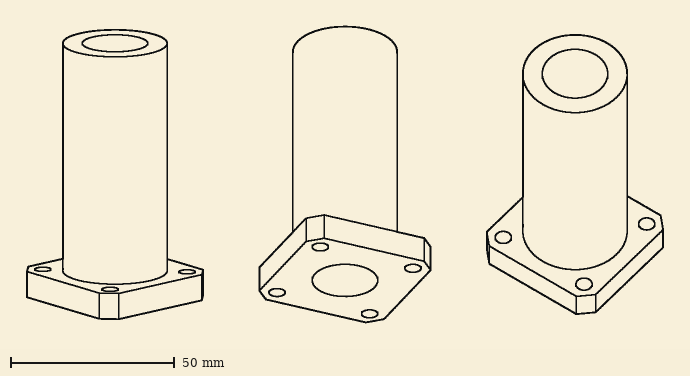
import cadquery as cq

total_height = 80.0
tube_diameter = 31.9
bore_diameter = 20.0

flange_width = 42.0
flange_thickness = 8.2
corner_chamfer = 4.2
hole_diameter = 5.0
hole_spacing = 31.2


def make_flange():
    """Square plate with cut corners and a mounting hole near each corner."""
    plate = cq.Workplane("XY").rect(flange_width, flange_width).extrude(flange_thickness)
    plate = plate.edges("|Z").chamfer(corner_chamfer)
    return (
        plate.faces(">Z").workplane()
        .rect(hole_spacing, hole_spacing, forConstruction=True)
        .vertices()
        .hole(hole_diameter)
    )


def make_tube():
    """Solid round body standing on the bottom plane of the flange."""
    return cq.Workplane("XY").circle(tube_diameter / 2).extrude(total_height)


def make_bore():
    """Central cylinder that passes through the full height."""
    return cq.Workplane("XY").circle(bore_diameter / 2).extrude(total_height)


result = make_flange().union(make_tube()).cut(make_bore())